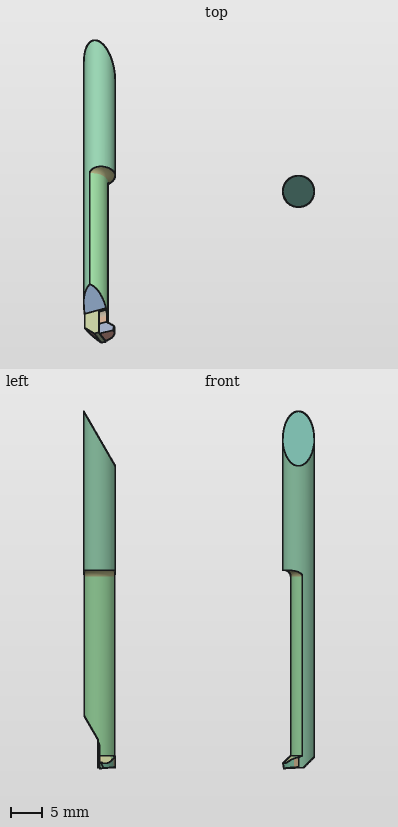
import cadquery as cq
import math

shank_diameter = 5.0
shank_radius = shank_diameter / 2
total_length = 56.58
top_slant = math.radians(60)
bottom_end = 0.12
corner_bevel = 1.72

neck_offset = 1.24
neck_radius = shank_radius
neck_bottom = 2.05
neck_top = 31.4
neck_fillet = 1.0
relief_margin = 1.5
relief_reach = neck_radius + relief_margin

flat_y = 0.24
flat_top = 4.55
flat_runout = math.radians(30)

rake_y = -0.06
groove_top = 4.2
groove_radius = 1.6

split_x = 0.03
edge_low_x = -2.34
edge_height = 1.0
edge_top_x = -2.3
edge_top = 1.1
end_relief = 0.06
back_fall = 0.42
heel_x = -0.75
heel_y = -2.2
clearance_mid_x = -1.98
clearance_mid_y = -1.3


def slanted_bar():
    """Round bar with the slanted top and the bevelled bottom corner."""
    bar = cq.Workplane("XY").circle(shank_radius).extrude(total_length)
    slant_low = total_length - shank_diameter * math.tan(top_slant)
    side = (
        cq.Workplane("YZ")
        .moveTo(-shank_radius, 0)
        .lineTo(shank_radius, 0)
        .lineTo(shank_radius, total_length)
        .lineTo(-shank_radius, slant_low)
        .close()
        .extrude(shank_radius, both=True)
    )
    bevel = (
        cq.Workplane("XZ")
        .moveTo(shank_radius, bottom_end)
        .lineTo(shank_radius, bottom_end + corner_bevel)
        .lineTo(shank_radius - corner_bevel, bottom_end)
        .lineTo(shank_radius - corner_bevel, 0)
        .lineTo(shank_radius, 0)
        .close()
        .extrude(shank_radius, both=True)
    )
    return bar.intersect(side).cut(bevel)


def neck_envelope():
    """Turned shape around the neck axis: head cone, neck, fillet and full shank."""
    arc_step = neck_fillet * math.sqrt(0.5)
    fillet_end = neck_radius + neck_fillet
    cone_low = neck_bottom - relief_margin
    return (
        cq.Workplane("XZ", origin=(neck_offset, 0, 0))
        .moveTo(0, 0)
        .lineTo(relief_reach, 0)
        .lineTo(relief_reach, cone_low)
        .lineTo(neck_radius, neck_bottom)
        .lineTo(neck_radius, neck_top - neck_fillet)
        .threePointArc(
            (fillet_end - arc_step, neck_top - neck_fillet + arc_step),
            (fillet_end, neck_top),
        )
        .lineTo(relief_reach, neck_top)
        .lineTo(relief_reach, total_length)
        .lineTo(0, total_length)
        .close()
        .revolve(360, (0, 0, 0), (0, 1, 0))
    )


def chip_flat():
    """Cutter for the chip flat and its straight run-out."""
    runout_top = flat_top + (shank_radius - flat_y) / math.tan(flat_runout)
    return (
        cq.Workplane("YZ")
        .moveTo(flat_y, 0)
        .lineTo(shank_radius, 0)
        .lineTo(shank_radius, runout_top)
        .lineTo(flat_y, flat_top)
        .close()
        .extrude(shank_radius, both=True)
    )


def rake_groove():
    """Cutter for the rake face, with a round run-out up to the chip flat."""
    depth = flat_y - rake_y
    run_length = math.sqrt(groove_radius**2 - (groove_radius - depth) ** 2)
    return (
        cq.Workplane("YZ", origin=(split_x, 0, 0))
        .moveTo(rake_y, 0)
        .lineTo(rake_y, groove_top - run_length)
        .radiusArc((flat_y, groove_top), groove_radius)
        .lineTo(flat_y, 0)
        .close()
        .extrude(-shank_diameter)
    )


def tip_space():
    """Block on the -X side of the joint face and below the neck."""
    return cq.Workplane("XY").box(
        shank_diameter, shank_diameter, neck_bottom, centered=(False, True, False)
    ).translate((split_x - shank_diameter, 0, 0))


def clearance_prism():
    """Plan outline of the tip: cutting corner, curved clearance and flat heel."""
    joint_front_y = -math.sqrt(shank_radius**2 - split_x**2)
    return (
        cq.Workplane("XY")
        .moveTo(split_x, rake_y)
        .lineTo(-shank_radius, rake_y)
        .threePointArc((clearance_mid_x, clearance_mid_y), (heel_x, heel_y))
        .lineTo(split_x, joint_front_y)
        .close()
        .extrude(neck_bottom)
    )


def swept_relief(outline, rise):
    """Carry an XZ outline from the rake face towards -Y, climbing by rise per unit length."""
    face = cq.Face.makeFromWires(outline.val())
    sweep = cq.Vector(0, -shank_radius, rise * shank_radius)
    return cq.Workplane(cq.Solid.extrudeLinear(face, sweep))


def edge_prism():
    """Cutting edge and end face of the tip, with the end relief behind the edge."""
    outline = (
        cq.Workplane("XZ", origin=(0, rake_y, 0))
        .moveTo(edge_low_x, 0)
        .lineTo(split_x, bottom_end)
        .lineTo(split_x, neck_bottom)
        .lineTo(-shank_radius, neck_bottom)
        .lineTo(-shank_radius, edge_height)
        .close()
    )
    return swept_relief(outline, end_relief)


def back_relief():
    """Cutter above the cutting edge: a 45 degree face that falls away from the rake face."""
    height = 2 * neck_bottom
    outline = (
        cq.Workplane("XZ", origin=(0, rake_y, 0))
        .moveTo(-shank_diameter, edge_height)
        .lineTo(-shank_radius, edge_height)
        .lineTo(edge_top_x, edge_top)
        .lineTo(edge_top_x + height - edge_top, height)
        .lineTo(-shank_diameter, height)
        .close()
    )
    return swept_relief(outline, -back_fall)


def end_trim():
    """Slab that trims the bar to its bottom end face."""
    return cq.Workplane("XY").box(
        shank_diameter, shank_diameter, bottom_end, centered=(True, True, False)
    )


tool = slanted_bar().intersect(neck_envelope()).cut(chip_flat()).cut(rake_groove())

holder = tool.cut(tip_space()).cut(end_trim())
tip = neck_envelope().intersect(clearance_prism()).intersect(edge_prism()).cut(back_relief())

result = cq.Compound.makeCompound([holder.solids().val(), tip.solids().val()])